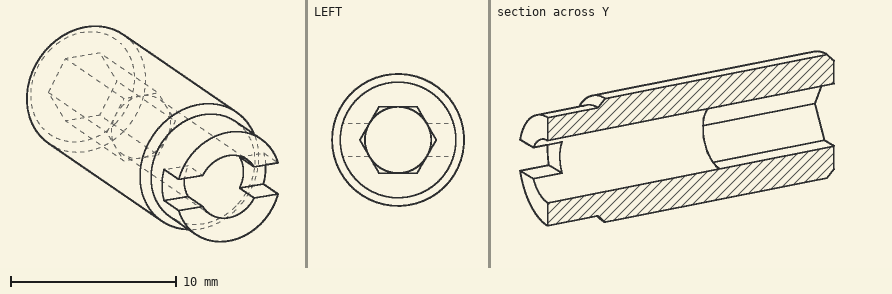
import cadquery as cq
import math

length = 20.0
body_diameter = 8.0
chamfer = 0.5
nose_length = 3.5
nose_diameter = body_diameter - 2 * chamfer

hex_across_flats = 4.0
hex_depth = 8.0
bore_diameter = hex_across_flats
slot_width = 2.0
slot_depth = 2.0


def make_body():
    """Chamfered cylinder with a reduced nose at the +X end."""
    body_length = length - nose_length
    body = cq.Workplane("YZ").circle(body_diameter / 2).extrude(body_length)
    body = body.faces("<X or >X").chamfer(chamfer)
    nose = (
        cq.Workplane("YZ", origin=(body_length, 0, 0))
        .circle(nose_diameter / 2)
        .extrude(nose_length)
    )
    return body.union(nose)


def make_bore():
    """Round hole along the full length."""
    return cq.Workplane("YZ").circle(bore_diameter / 2).extrude(length)


def make_hex_socket():
    """Hexagonal socket at the -X end, with two corners on the Y axis."""
    across_corners = hex_across_flats / math.cos(math.radians(30))
    return cq.Workplane("YZ").polygon(6, across_corners).extrude(hex_depth)


def make_slot():
    """Screwdriver slot across the nose, running along Y."""
    return cq.Workplane("XY").box(
        slot_depth, body_diameter, slot_width, centered=(False, True, True)
    ).translate((length - slot_depth, 0, 0))


result = make_body().cut(make_bore()).cut(make_hex_socket()).cut(make_slot())